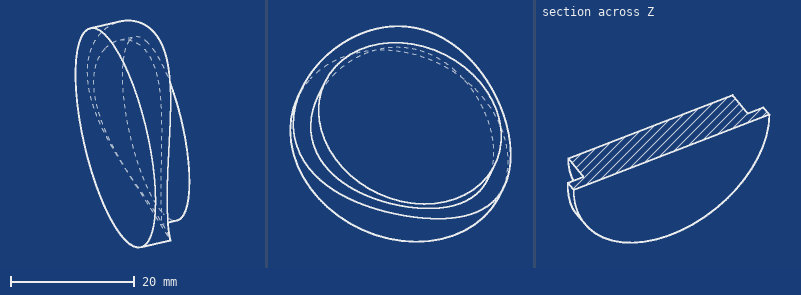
import cadquery as cq

cap_diameter = 36.4
cap_height = 7.45
waist_height = 2.0
boss_diameter = 30.58
boss_height = 7.0

saddle_depth = cap_height - waist_height
half_span = cap_diameter / 2
saddle_radius = (half_span**2 + saddle_depth**2) / (2 * saddle_depth)


def disk(diameter, height):
    """Solid disk growing from the flat face toward +Y."""
    return cq.Workplane("XZ").circle(diameter / 2).extrude(-height)


saddle_cutter = (
    cq.Workplane("YZ")
    .center(waist_height + saddle_radius, 0)
    .circle(saddle_radius)
    .extrude(cap_diameter, both=True)
)

saddle_cap = disk(cap_diameter, cap_height).cut(saddle_cutter)
result = saddle_cap.union(disk(boss_diameter, boss_height))